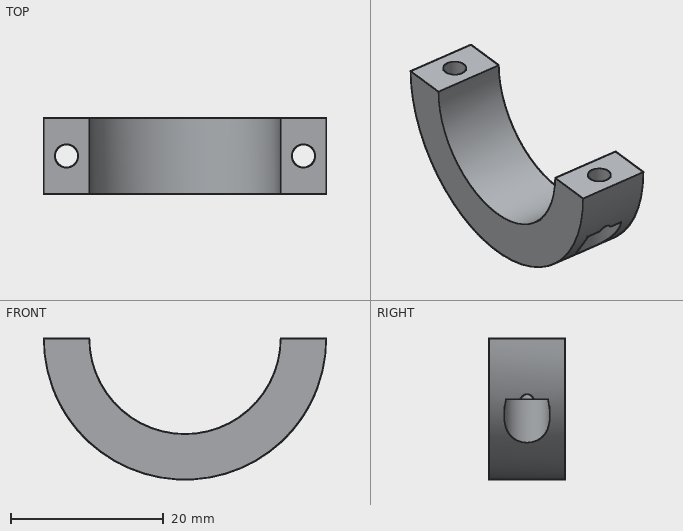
import cadquery as cq

outer_radius = 18.5
inner_radius = 12.5
width = 10.0
screw_hole_diameter = 3.0
head_pocket_diameter = 6.0
head_seat_depth = 8.0

screw_offset = (outer_radius + inner_radius) / 2


def half_ring():
    """Lower half of a ring around Y, with its split face at Z = 0."""
    return (
        cq.Workplane("XZ")
        .moveTo(-outer_radius, 0)
        .threePointArc((0, -outer_radius), (outer_radius, 0))
        .lineTo(inner_radius, 0)
        .threePointArc((0, -inner_radius), (-inner_radius, 0))
        .close()
        .extrude(width / 2, both=True)
    )


def screw_cutter(x):
    """Clearance hole from the split face, with a head pocket open below."""
    hole = cq.Workplane("XY").center(x, 0).circle(screw_hole_diameter / 2).extrude(-outer_radius)
    head_pocket = (
        cq.Workplane("XY", origin=(x, 0, -head_seat_depth))
        .circle(head_pocket_diameter / 2)
        .extrude(head_seat_depth - outer_radius)
    )
    return hole.union(head_pocket)


result = half_ring()
for side in (-1, 1):
    result = result.cut(screw_cutter(side * screw_offset))